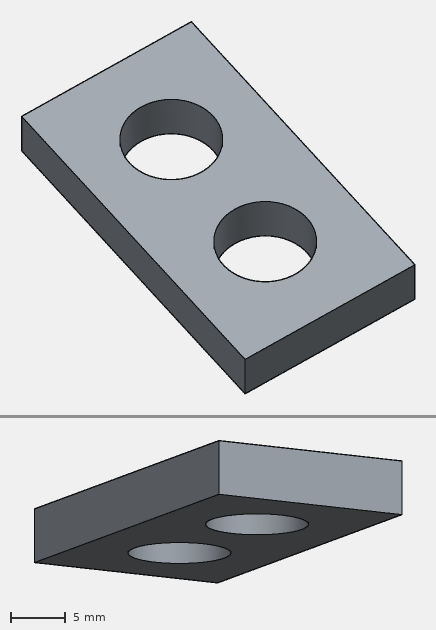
import cadquery as cq

length = 35.05
width = 19.05
thickness = 5.0

hole_diameter = 9.4
hole_spacing = 14.72

plate = cq.Workplane("XY").box(length, width, thickness)

hole_centers = [(-hole_spacing / 2, 0), (hole_spacing / 2, 0)]
result = plate.faces(">Z").workplane().pushPoints(hole_centers).hole(hole_diameter)